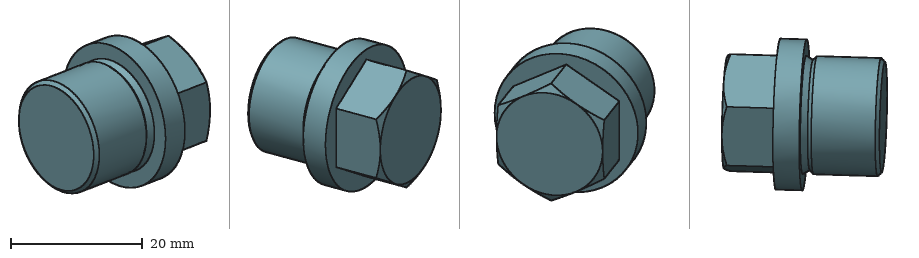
import cadquery as cq
import math

total_length = 24.0
flange_diameter = 23.0
flange_thickness = 4.0
head_length = 8.0
head_across_flats = 17.0
head_chamfer_angle = 30.0
shank_diameter = 18.0
shank_chamfer = 0.6
groove_depth = 0.6
groove_taper_length = 1.05

shank_length = total_length - flange_thickness - head_length
flange_radius = flange_diameter / 2
shank_radius = shank_diameter / 2
groove_radius = shank_radius - groove_depth
flange_back = shank_length + flange_thickness
groove_bottom = shank_length - groove_taper_length
head_across_corners = head_across_flats / math.cos(math.radians(30))


def revolve_about_y(points):
    """Turn a closed (radius, y) outline into a solid about the Y axis."""
    return cq.Workplane("XY").polyline(points).close().revolve(360, (0, 0), (0, 1))


shank_and_flange = revolve_about_y([
    (0, 0),
    (shank_radius - shank_chamfer, 0),
    (shank_radius, shank_chamfer),
    (shank_radius, groove_bottom - groove_depth),
    (groove_radius, groove_bottom),
    (shank_radius, shank_length),
    (flange_radius, shank_length),
    (flange_radius, flange_back),
    (0, flange_back),
])

hexagon = (
    cq.Workplane("XZ", origin=(0, flange_back, 0))
    .transformed(rotate=(0, 0, 90))
    .polygon(6, head_across_corners)
    .extrude(-head_length)
)

flat_radius = head_across_flats / 2
trim_radius = flange_radius
trim_drop = (trim_radius - flat_radius) * math.tan(math.radians(head_chamfer_angle))
corner_trim = revolve_about_y([
    (0, flange_back),
    (trim_radius, flange_back),
    (trim_radius, total_length - trim_drop),
    (flat_radius, total_length),
    (0, total_length),
])
head = hexagon.intersect(corner_trim)

result = shank_and_flange.union(head)